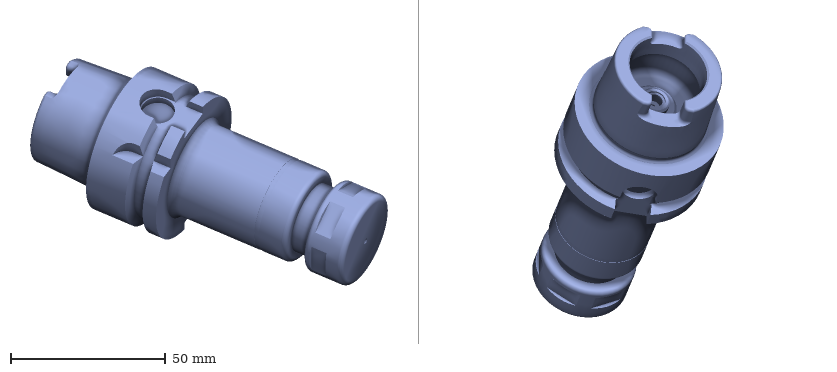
import cadquery as cq
import math

LENGTH = 115.0

TAPER_LENGTH = 23.0
TAPER_LARGE_RADIUS = 19.2
TAPER_SLOPE = 0.05
SHANK_EDGE_ROUND = 1.0
NECK_RADIUS = 18.9
NECK_CHAMFER_LENGTH = 0.7
NECK_RELIEF_START = 24.5
NECK_RELIEF_ROUND = 0.77

FLANGE_START = 25.1
FLANGE_END = 51.1
FLANGE_RADIUS = 50.0 / 2
GROOVE_RADIUS = 43.1 / 2
GROOVE_FLOOR_START = 40.9
GROOVE_FLOOR_END = 44.7
GROOVE_SIDE_LENGTH = 1.4

BODY_RADIUS = 32.0 / 2
BODY_END = 94.2
BODY_END_ROUND = 1.7
FOOT_LENGTH = 2.6
FOOT_HEIGHT = 1.6
BODY_GROOVE_START = 82.5
BODY_GROOVE_END = 84.2
BODY_GROOVE_DEPTH = 0.1
NUT_NECK_RADIUS = 24.0 / 2

NUT_START = 100.6
NUT_RADIUS = 16.0
NUT_BACK_ROUND = 1.6
NUT_FRONT_ROUND = 1.8
FLAT_COUNT = 6
FLAT_DISTANCE = 15.0
FLAT_START = 103.3
FLAT_END = 108.8
FLAT_END_SLOPE = 0.25

BORE_RADIUS = 13.0
BORE_DEPTH = 20.9
UNDERCUT_START = 9.7
UNDERCUT_RADIUS = 14.3
BORE_FLOOR_ROUND = 2.6
BORE_MOUTH_CHAMFER = 0.6
TUBE_NUT_RADIUS = 7.9
TUBE_NUT_HEIGHT = 1.7
TUBE_NUT_CHAMFER = 0.9
TUBE_RADIUS = 10.0 / 2
TUBE_HEIGHT = 2.3
TUBE_CHAMFER = 0.7
TUBE_BORE_RADIUS = 5.0 / 2
TUBE_MOUTH_RADIUS = 6.5 / 2
TUBE_MOUTH_DEPTH = 0.6
THROUGH_HOLE_DIAMETER = 2.0

DRIVE_SLOT_HALF_WIDTH = 5.4
DRIVE_SLOT_DEPTHS = {1: 4.3, -1: 7.2}
DRIVE_SLOT_FLOOR_ROUND = 1.6
DRIVE_SLOT_FLARE_START = 14.3
DRIVE_SLOT_FLARE_RADIUS = 1.7

KEYWAY_RADIUS = 6.0
KEYWAY_CENTRE_X = 37.7
KEYWAY_FLOOR = 20.9
KEYWAY_HOLE_DIAMETER = 11.0
KEYWAY_HOLE_DEPTH = 2.5
CORNER_NOTCH_WALL_Y = -15.3
CORNER_NOTCH_FLOOR = 15.4

OUTSIDE = 34.5


def shank():
    """Solid taper and neck, slotted at its end and rounded around the end face."""
    tip_radius = TAPER_LARGE_RADIUS - TAPER_SLOPE * TAPER_LENGTH
    neck_start = TAPER_LENGTH + NECK_CHAMFER_LENGTH
    body = (
        cq.Workplane("XY")
        .moveTo(0, 0)
        .lineTo(0, tip_radius)
        .lineTo(TAPER_LENGTH, TAPER_LARGE_RADIUS)
        .lineTo(neck_start, NECK_RADIUS)
        .lineTo(NECK_RELIEF_START, NECK_RADIUS)
        .lineTo(NECK_RELIEF_START, 0)
        .close()
        .revolve(360, (0, 0, 0), (1, 0, 0))
    )
    for side, depth in DRIVE_SLOT_DEPTHS.items():
        body = body.cut(drive_slot(side, depth))
    return body.faces("<X").edges().fillet(SHANK_EDGE_ROUND)


def drive_slot(side, depth):
    """Cutter for one drive slot: straight walls that flare outwards, and a rounded floor."""
    half = DRIVE_SLOT_HALF_WIDTH
    flare = DRIVE_SLOT_FLARE_RADIUS
    flare_top = DRIVE_SLOT_FLARE_START + flare
    bend = flare * math.sqrt(0.5)
    bend_y = half + flare - bend
    bend_z = DRIVE_SLOT_FLARE_START + bend
    return (
        cq.Workplane("YZ")
        .moveTo(-half, 0)
        .lineTo(-half, side * DRIVE_SLOT_FLARE_START)
        .threePointArc((-bend_y, side * bend_z), (-half - flare, side * flare_top))
        .lineTo(-OUTSIDE, side * flare_top)
        .lineTo(-OUTSIDE, side * OUTSIDE)
        .lineTo(OUTSIDE, side * OUTSIDE)
        .lineTo(OUTSIDE, side * flare_top)
        .lineTo(half + flare, side * flare_top)
        .threePointArc((bend_y, side * bend_z), (half, side * DRIVE_SLOT_FLARE_START))
        .lineTo(half, 0)
        .close()
        .extrude(depth)
        .faces(">X")
        .edges()
        .fillet(DRIVE_SLOT_FLOOR_ROUND)
    )


def flange():
    """Gripper flange with a V groove around it and a rounded relief where the neck enters its face."""
    relief_centre_radius = NECK_RADIUS + NECK_RELIEF_ROUND
    relief_reach = FLANGE_START - NECK_RELIEF_START
    relief_edge_radius = relief_centre_radius + math.sqrt(NECK_RELIEF_ROUND**2 - relief_reach**2)
    return (
        cq.Workplane("XY")
        .moveTo(NECK_RELIEF_START, 0)
        .lineTo(NECK_RELIEF_START, NECK_RADIUS)
        .threePointArc(
            (NECK_RELIEF_START + NECK_RELIEF_ROUND, relief_centre_radius), (FLANGE_START, relief_edge_radius)
        )
        .lineTo(FLANGE_START, FLANGE_RADIUS)
        .lineTo(GROOVE_FLOOR_START - GROOVE_SIDE_LENGTH, FLANGE_RADIUS)
        .lineTo(GROOVE_FLOOR_START, GROOVE_RADIUS)
        .lineTo(GROOVE_FLOOR_END, GROOVE_RADIUS)
        .lineTo(GROOVE_FLOOR_END + GROOVE_SIDE_LENGTH, FLANGE_RADIUS)
        .lineTo(FLANGE_END, FLANGE_RADIUS)
        .lineTo(FLANGE_END, 0)
        .close()
        .revolve(360, (0, 0, 0), (1, 0, 0))
    )


def body_and_nut():
    """Cylindrical body, thinner neck and clamping nut."""
    groove_radius = BODY_RADIUS - BODY_GROOVE_DEPTH
    foot_end = FLANGE_END + FOOT_LENGTH
    foot_curve = (FOOT_LENGTH**2 + FOOT_HEIGHT**2) / (2 * FOOT_HEIGHT)
    foot_angle = math.asin(FOOT_LENGTH / foot_curve) / 2
    foot_middle = (
        foot_end - foot_curve * math.sin(foot_angle),
        BODY_RADIUS + foot_curve * (1 - math.cos(foot_angle)),
    )
    body = (
        cq.Workplane("XY")
        .moveTo(FLANGE_END, 0)
        .lineTo(FLANGE_END, BODY_RADIUS + FOOT_HEIGHT)
        .threePointArc(foot_middle, (foot_end, BODY_RADIUS))
        .lineTo(BODY_GROOVE_START, BODY_RADIUS)
        .lineTo(BODY_GROOVE_START, groove_radius)
        .lineTo(BODY_GROOVE_END, groove_radius)
        .lineTo(BODY_GROOVE_END, BODY_RADIUS)
        .lineTo(BODY_END, BODY_RADIUS)
        .lineTo(BODY_END, 0)
        .close()
        .revolve(360, (0, 0, 0), (1, 0, 0))
        .faces(">X")
        .edges()
        .fillet(BODY_END_ROUND)
    )
    neck = cq.Workplane("YZ", (BODY_END, 0, 0)).circle(NUT_NECK_RADIUS).extrude(NUT_START - BODY_END)
    nut = (
        cq.Workplane("YZ", (NUT_START, 0, 0))
        .circle(NUT_RADIUS)
        .extrude(LENGTH - NUT_START)
        .faces("<X")
        .edges()
        .fillet(NUT_BACK_ROUND)
        .faces(">X")
        .edges()
        .fillet(NUT_FRONT_ROUND)
    )
    return body.union(neck).union(nut.cut(spanner_flats()))


def spanner_flats():
    """Cutters for the flats around the nut, with slightly sloping end walls."""
    depth = NUT_RADIUS - FLAT_DISTANCE
    first = (
        cq.Workplane("XY")
        .moveTo(FLAT_START, FLAT_DISTANCE)
        .lineTo(FLAT_START - FLAT_END_SLOPE * depth, NUT_RADIUS)
        .lineTo(FLAT_END + FLAT_END_SLOPE * depth, NUT_RADIUS)
        .lineTo(FLAT_END, FLAT_DISTANCE)
        .close()
        .extrude(FLAT_DISTANCE / 2, both=True)
    )
    cutters = first
    for i in range(1, FLAT_COUNT):
        cutters = cutters.union(first.rotate((0, 0, 0), (1, 0, 0), i * 360 / FLAT_COUNT))
    return cutters


def bore():
    """Cutter for the shank bore, shaped to leave the coolant tube on its floor."""
    mouth = BORE_RADIUS + BORE_MOUTH_CHAMFER
    corner = BORE_FLOOR_ROUND * (1 - math.sqrt(0.5))
    nut_top = BORE_DEPTH - TUBE_NUT_HEIGHT
    tube_top = nut_top - TUBE_HEIGHT
    return (
        cq.Workplane("XY")
        .moveTo(0, 0)
        .lineTo(0, mouth)
        .lineTo(BORE_MOUTH_CHAMFER, BORE_RADIUS)
        .lineTo(UNDERCUT_START, BORE_RADIUS)
        .lineTo(UNDERCUT_START, UNDERCUT_RADIUS)
        .lineTo(BORE_DEPTH - BORE_FLOOR_ROUND, UNDERCUT_RADIUS)
        .threePointArc(
            (BORE_DEPTH - corner, UNDERCUT_RADIUS - corner), (BORE_DEPTH, UNDERCUT_RADIUS - BORE_FLOOR_ROUND)
        )
        .lineTo(BORE_DEPTH, TUBE_NUT_RADIUS)
        .lineTo(nut_top + TUBE_NUT_CHAMFER, TUBE_NUT_RADIUS)
        .lineTo(nut_top, TUBE_NUT_RADIUS - TUBE_NUT_CHAMFER)
        .lineTo(nut_top, TUBE_RADIUS)
        .lineTo(tube_top + TUBE_CHAMFER, TUBE_RADIUS)
        .lineTo(tube_top, TUBE_RADIUS - TUBE_CHAMFER)
        .lineTo(tube_top, TUBE_MOUTH_RADIUS)
        .lineTo(tube_top + TUBE_MOUTH_DEPTH, TUBE_MOUTH_RADIUS)
        .lineTo(tube_top + TUBE_MOUTH_DEPTH, TUBE_BORE_RADIUS)
        .lineTo(BORE_DEPTH, TUBE_BORE_RADIUS)
        .lineTo(BORE_DEPTH, 0)
        .close()
        .revolve(360, (0, 0, 0), (1, 0, 0))
    )


def keyway_cutter(centre_y, floor):
    """Slot with a round front end that runs out through the rear of the flange."""
    run = FLANGE_END - KEYWAY_CENTRE_X
    plane = cq.Workplane("XY", (KEYWAY_CENTRE_X, centre_y, floor))
    straight = plane.rect(2 * run, 2 * KEYWAY_RADIUS).extrude(OUTSIDE - floor)
    ahead = plane.center(-run, 0).rect(2 * run, 2 * KEYWAY_RADIUS).extrude(OUTSIDE - floor)
    return straight.cut(ahead).union(plane.circle(KEYWAY_RADIUS).extrude(OUTSIDE - floor))


def flange_keyways():
    """Two opposite keyways with a round recess in the floor, and one square corner notch."""
    recess_floor = KEYWAY_FLOOR - KEYWAY_HOLE_DEPTH
    recess = (
        cq.Workplane("XY", (KEYWAY_CENTRE_X, 0, recess_floor))
        .circle(KEYWAY_HOLE_DIAMETER / 2)
        .extrude(OUTSIDE - recess_floor)
    )
    upper = keyway_cutter(0, KEYWAY_FLOOR).union(recess)
    lower = upper.rotate((0, 0, 0), (1, 0, 0), 180)
    notch = keyway_cutter(CORNER_NOTCH_WALL_Y - KEYWAY_RADIUS, CORNER_NOTCH_FLOOR)
    return upper.union(lower).union(notch)


through_hole = cq.Workplane("YZ").circle(THROUGH_HOLE_DIAMETER / 2).extrude(LENGTH)
holder = flange().cut(flange_keyways()).union(body_and_nut())
result = holder.union(shank()).cut(bore()).cut(through_hole)